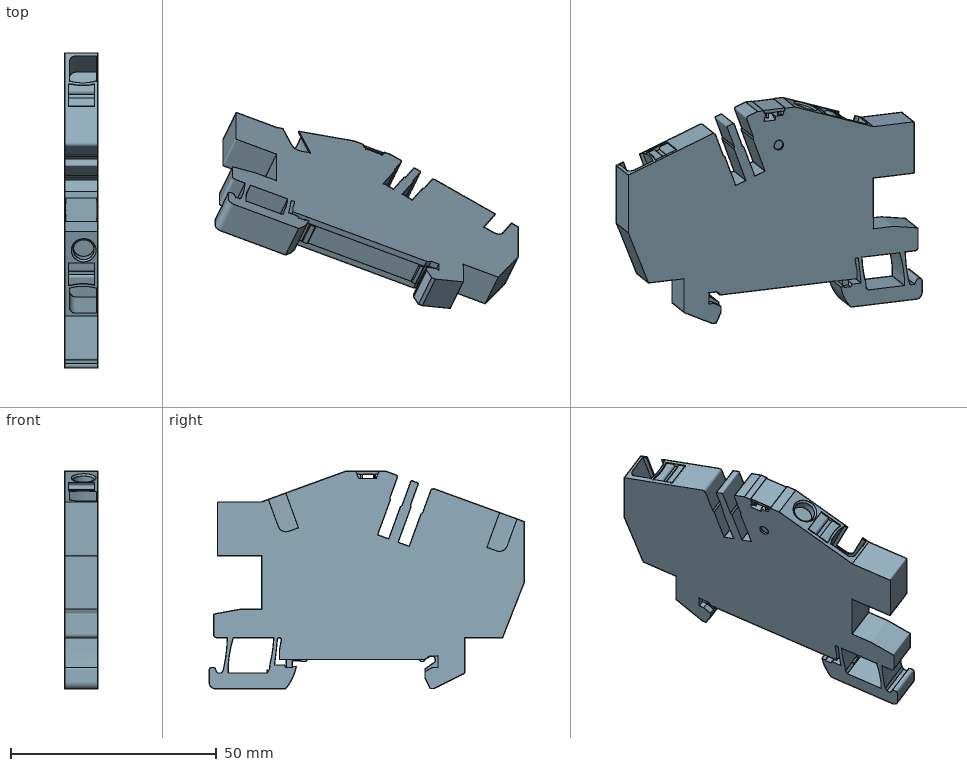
import cadquery as cq
import math


width = 8.1
length = 76.57
rear_y = length / 2
front_y = -rear_y

top_z = 45.75
foot_base_z = -7.13
shoulder_z = 5.28
rear_low_z = 18.75
rear_high_z = 33.5
block_top_z = 38.3
block_bottom_z = 25.15
ledge_z = 12.22
ledge_tip_z = 11.05

tilt = 20
sin_tilt = math.sin(math.radians(tilt))
cos_tilt = math.cos(math.radians(tilt))
rear_roof_y = rear_y - (top_z - rear_high_z) * cos_tilt / sin_tilt
front_roof_y = -5.1
block_root_y = front_roof_y - (top_z - block_top_z) * cos_tilt / sin_tilt
block_y = -36.25
mouth_y = -25.55
ledge_bend_y = -30.8
ledge_y = -37.2
rear_shoulder_y = 33.0
hook_back_y = 23.8
hook_front_y = 14.1
hook_back_z = -3.35
hook_tip_z = -4.4
hook_base_z = -7.05
hook_tip_front_y = 15.4
hook_tip_back_y = 16.4
tip_fillet = 0.3
ledge_fillet = 0.8

spring_gap_y = -21.22
spring_gap_radius = 0.46
spring_gap_taper_z = 2.35
foot_top_z = -1.27
foot_floor_z = -3.25
foot_tip_y = -17.05
foot_tip_z = -1.64
foot_lip_z = -1.91
foot_corner_radius = 1.6
foot_base_y = -19.72
lip_y = -36.9
lip_foot_y = -36.3
lip_fillet = 0.65
spring_front_y = -33.88
spring_bend_y = -34.85
spring_bend_z = -2.5
spring_foot_y = -35.3
spring_base_y = -22.37
window_rear_y = -22.6
window_bend_y = -23.5
window_bend_z = -1.0
window_front_y = -33.6
window_front_z = -1.1
window_top_y = -32.4
tab_ramp_y = -20.06
spring_root_z = shoulder_z + 0.7
latch_y = -23.68
latch_size = 0.54
latch_z = -2.5
latch_x = 3.3
latch_width = 2.0

clamp_x = 1.5
clamp_width = width - 2 * clamp_x
clamp_top_z = 1.9
clamp_back_y = 17.3
bump_drop = 0.48
tab_front_y = -19.6
tab_back_y = -18.04
tab_z = -1.89
strip_drop = 0.3
recess_top_z = 0.9
recess_mouth_y = 15.3
recess_floor_z = -1.92
recess_bend_y = 16.0
recess_lip_z = -2.95
throat_y = 16.3
throat_top_z = 0.7
throat_floor_z = -0.6
clamp_lip_z = -2.3
bump_slope = 0.25
front_bump_front_y = -15.9
front_bump_back_y = -14.7
rear_bump_front_y = 13.05
rear_bump_back_y = 13.9

slot_foot_y = 8.98
slot_foot_z = 28.0
slot_pitch = 5.3
slot_width = 2.82
slot_mouth_width = 3.35
slot_rear_step = 8.2
slot_front_step = 9.0
slot_step_length = 0.5
slot_height = 20
mouth_fillets = [(0.75, 0.3), (0.3, 0.6)]

marker_x = 0.25
marker_width = width - 2 * marker_x
marker_back_y = 3.0
marker_front_y = -2.65
marker_thickness = 0.8
seat_depth = 1.75
seat_taper = 0.42
leg_x = 0.4
leg_width = 0.5
leg_size = 0.46
rear_leg_y = 1.89
rear_leg_depth = 2.1
front_leg_y = -1.3
front_leg_size = 0.62
seat_notch_back_y = 2.85
seat_notch_front_y = -0.05
seat_notch_depth = 0.97
seat_notch_run = 2.5

rear_entry = 28.05
front_entry = 14.15
entry_left_x = 1.17
entry_right_x = 7.74
entry_length = 6.95
entry_bow = 0.5
entry_depth = 11.5
entry_corner = 1.6
side_notch_start = 1.35
side_notch_width = 4.5
side_notch_depth = 9.0
side_notch_radius = 2.0
notch_x = entry_right_x - 0.1
button_left_x = 0.94
button_right_x = 7.28
button_length = 5.75
button_gap = 0.75
button_wall = 0.6
button_depth = 6.0
button_recess = 0.3
groove_recess = 0.9
ridge_length = 1.85
ridge_round = 0.6
groove_end = 3.35
ramp_end = 4.25
ramp_bulge = 0.15
test_hole_x = 4.63
test_hole_distance = 4.85
test_hole_radius = 2.55
test_hole_chamfer = 0.45
test_hole_depth = 2.7
side_hole_y = -0.92
side_hole_z = 36.5
side_hole_radius = 1.2
side_hole_depth = 0.5


def prism(points, x_start=0.0, x_length=width):
    """Straight-sided (Y, Z) outline extruded along X."""
    return cq.Workplane("YZ", origin=(x_start, 0, 0)).polyline(points).close().extrude(x_length)


def edges_at(y, z, reach=0.2):
    """Selector for edges whose middle lies near (y, z)."""
    return cq.selectors.BoxSelector((-1, y - reach, z - reach), (width + 1, y + reach, z + reach))


class Roof:
    """A sloping roof face. Positions are X and distance down the slope from its ridge."""

    def __init__(self, ridge_y, side):
        self.side = side
        self.origin = (0, ridge_y, top_z)
        self.normal = (0, side * sin_tilt, cos_tilt)

    def face(self):
        return cq.Workplane(cq.Plane(self.origin, (1, 0, 0), self.normal))

    def section(self, x):
        """Lengthwise plane at x: local x runs down the slope, local y out of the roof."""
        down = (0, self.side * cos_tilt, -sin_tilt)
        origin = (x, self.origin[1], self.origin[2])
        return cq.Workplane(cq.Plane(origin, down, (self.side, 0, 0)))

    def along_x(self, amount):
        """Extrusion length in section() that moves `amount` toward +X."""
        return self.side * amount


rear_roof = Roof(rear_roof_y, 1)
front_roof = Roof(front_roof_y, -1)
terminals = [(rear_roof, rear_entry), (front_roof, front_entry)]


def body():
    """Main outline with the rear rail hook."""
    gap_top = shoulder_z - spring_gap_radius
    return (
        cq.Workplane("YZ")
        .moveTo(rear_y, rear_low_z)
        .lineTo(rear_y, rear_high_z)
        .lineTo(rear_roof_y, top_z)
        .lineTo(front_roof_y, top_z)
        .lineTo(block_root_y, block_top_z)
        .lineTo(block_y, block_top_z)
        .lineTo(block_y, block_bottom_z)
        .lineTo(mouth_y, block_bottom_z)
        .lineTo(mouth_y, ledge_z)
        .lineTo(ledge_bend_y, ledge_z)
        .lineTo(ledge_y, ledge_tip_z)
        .lineTo(ledge_y, shoulder_z)
        .lineTo(spring_gap_y - spring_gap_radius, shoulder_z)
        .lineTo(spring_gap_y - spring_gap_radius, gap_top)
        .threePointArc((spring_gap_y, shoulder_z), (spring_gap_y + spring_gap_radius, gap_top))
        .lineTo(spring_gap_y, spring_gap_taper_z)
        .lineTo(spring_gap_y, 0)
        .lineTo(hook_front_y, 0)
        .lineTo(hook_front_y, hook_tip_z)
        .lineTo(hook_tip_front_y, hook_base_z)
        .lineTo(hook_tip_back_y, hook_base_z)
        .lineTo(hook_back_y, hook_back_z)
        .lineTo(hook_back_y, shoulder_z)
        .lineTo(rear_shoulder_y, shoulder_z)
        .close()
        .extrude(width)
        .edges(edges_at(block_y, block_top_z))
        .fillet(tip_fillet)
        .edges(edges_at(block_y, block_bottom_z))
        .fillet(tip_fillet)
        .edges(edges_at(ledge_y, ledge_tip_z))
        .fillet(tip_fillet)
        .edges(edges_at(ledge_y, shoulder_z))
        .fillet(ledge_fillet)
        .edges(edges_at(hook_back_y, hook_back_z))
        .fillet(tip_fillet)
    )


def front_foot():
    """Sliding foot with its pull lip, spring window and small latch block."""
    outer = (
        cq.Workplane("YZ")
        .moveTo(foot_tip_y, foot_tip_z)
        .threePointArc((-18.0, -4.5), (foot_base_y, foot_base_z))
        .lineTo(front_y, foot_base_z)
        .lineTo(front_y, foot_lip_z)
        .lineTo(lip_y, foot_lip_z)
        .lineTo(lip_foot_y, foot_floor_z)
        .lineTo(spring_foot_y, foot_floor_z)
        .lineTo(spring_bend_y, spring_bend_z)
        .threePointArc((-34.15, 1.5), (spring_front_y, shoulder_z))
        .lineTo(spring_front_y, spring_root_z)
        .lineTo(spring_gap_y - spring_gap_radius, spring_root_z)
        .lineTo(spring_gap_y - spring_gap_radius, shoulder_z - spring_gap_radius)
        .threePointArc((-21.93, 2.35), (spring_base_y, foot_top_z))
        .lineTo(tab_ramp_y, foot_top_z)
        .lineTo(tab_front_y, tab_z)
        .lineTo(tab_back_y, tab_z)
        .lineTo(tab_back_y, foot_tip_z)
        .close()
        .extrude(width)
        .edges(edges_at(front_y, foot_base_z))
        .fillet(foot_corner_radius)
        .edges(edges_at(front_y, foot_lip_z))
        .fillet(lip_fillet)
        .edges(edges_at(lip_y, foot_lip_z))
        .fillet(lip_fillet)
    )
    window = (
        cq.Workplane("YZ")
        .moveTo(window_rear_y, shoulder_z)
        .threePointArc((-22.9, 2.1), (window_bend_y, window_bend_z))
        .lineTo(latch_y, latch_z)
        .lineTo(latch_y - latch_size, foot_floor_z)
        .lineTo(window_front_y, foot_floor_z)
        .lineTo(window_front_y, window_front_z)
        .threePointArc((-33.2, 1.9), (window_top_y, shoulder_z))
        .close()
        .extrude(width)
    )
    latch = prism(
        [
            (latch_y + latch_size, latch_z),
            (latch_y - latch_size, latch_z),
            (latch_y - latch_size, foot_floor_z),
            (latch_y + latch_size, foot_floor_z),
        ],
        latch_x,
        latch_width,
    )
    return outer.cut(window).union(latch)


def rail_recess():
    """Hollow in the rear hook that catches the rail edge."""
    return prism(
        [
            (recess_mouth_y, recess_top_z),
            (clamp_back_y, recess_top_z),
            (clamp_back_y, recess_floor_z),
            (recess_bend_y, recess_floor_z),
            (hook_front_y, recess_lip_z),
            (hook_front_y, 0),
        ]
    )


def partition_slots():
    """Leaning slots, each widened above a small step."""
    lower = slot_width / 2
    upper = slot_mouth_width / 2
    outline = [
        (lower, 0),
        (lower, slot_rear_step),
        (upper, slot_rear_step + slot_step_length),
        (upper, slot_height),
        (-upper, slot_height),
        (-upper, slot_front_step + slot_step_length),
        (-lower, slot_front_step),
        (-lower, 0),
    ]
    slots = cq.Workplane("YZ")
    for number in range(len(mouth_fillets)):
        shift = number * slot_pitch
        slots = slots.union(
            prism(outline)
            .rotate((0, 0, 0), (1, 0, 0), -tilt)
            .translate((0, slot_foot_y - shift * cos_tilt, slot_foot_z + shift * sin_tilt))
        )
    return slots


def round_slot_mouths(part):
    """Round the roof edges on both sides of each slot, from the rear forward."""
    rise = (top_z - slot_foot_z) * cos_tilt + (rear_roof_y - slot_foot_y) * sin_tilt
    for number, radii in enumerate(mouth_fillets):
        for side, radius in zip((1, -1), radii):
            across = side * slot_mouth_width / 2 - number * slot_pitch
            y = slot_foot_y + across * cos_tilt + rise * sin_tilt
            z = slot_foot_z - across * sin_tilt + rise * cos_tilt
            part = part.edges(edges_at(y, z)).fillet(radius)
    return part


def entry_outline(roof, start, margin=0.0):
    """Wire-entry outline on the roof, its upper end bowed; margin raises that end."""
    upper = roof.side * (start + entry_bow - margin)
    bow = roof.side * (start - margin)
    lower = roof.side * (start + entry_length)
    return (
        roof.face()
        .moveTo(entry_left_x, upper)
        .lineTo(entry_left_x, lower)
        .lineTo(entry_right_x, lower)
        .lineTo(entry_right_x, upper)
        .threePointArc(((entry_left_x + entry_right_x) / 2, bow), (entry_left_x, upper))
        .close()
    )


def wire_entry(roof, start):
    """Deep entry pocket, rounded on the closed side and notched through the +X wall."""
    along_normal = cq.selectors.ParallelDirSelector(cq.Vector(*roof.normal))
    lower_end = ">Y" if roof.side > 0 else "<Y"
    pocket = entry_outline(roof, start).extrude(-entry_depth)
    pocket = pocket.edges(along_normal).edges("<X").edges(lower_end).fillet(entry_corner)
    notch_middle = start + side_notch_start + side_notch_width / 2
    notch = (
        roof.section(notch_x)
        .center(notch_middle, 0)
        .rect(side_notch_width, 2 * side_notch_depth)
        .extrude(roof.along_x(width - notch_x))
        .edges("|X and <Z")
        .fillet(side_notch_radius)
    )
    return pocket.union(notch)


def button_space(roof, start):
    """Pocket for a button just above its wire entry, hollowed to follow the entry's bow."""
    end = start + entry_bow - button_gap
    block = (
        roof.section(button_left_x)
        .moveTo(end - button_length, 0)
        .lineTo(end, 0)
        .lineTo(end, -button_depth)
        .lineTo(end - button_length, -button_depth)
        .close()
        .extrude(roof.along_x(button_right_x - button_left_x))
    )
    return block.cut(entry_outline(roof, start, button_wall).extrude(-entry_depth))


def test_hole():
    """Blind round hole with a chamfered mouth in the front roof."""
    mouth = front_roof.face().center(test_hole_x, front_roof.side * test_hole_distance)
    hole = mouth.circle(test_hole_radius).extrude(-test_hole_depth)
    rim = mouth.circle(test_hole_radius + test_hole_chamfer)
    return hole.union(rim.extrude(-test_hole_chamfer, taper=45))


def side_hole():
    """Shallow round recess in the closed side face."""
    middle = cq.Workplane("YZ").center(side_hole_y, side_hole_z)
    return middle.circle(side_hole_radius).extrude(side_hole_depth)


def seat_section(depth, x_start, x_length):
    """Tapered (Y, Z) slice of the marker seat, down to the given depth."""
    inset = depth * seat_taper
    return prism(
        [
            (marker_back_y, top_z),
            (marker_front_y, top_z),
            (marker_front_y + inset, top_z - depth),
            (marker_back_y - inset, top_z - depth),
        ],
        x_start,
        x_length,
    )


def seat_notch():
    """Wedge under the seat that lets the rear leg snap in from the closed side."""
    floor_z = top_z - seat_depth
    return (
        cq.Workplane("XZ", origin=(0, seat_notch_back_y, 0))
        .polyline([(0, floor_z), (seat_notch_run, floor_z), (0, floor_z - seat_notch_depth)])
        .close()
        .extrude(seat_notch_back_y - seat_notch_front_y)
    )


def marker_tag():
    """Tapered tag flush with the roof, on two short legs."""
    def leg(y, size, depth):
        return cq.Workplane("XY", origin=(leg_x, y, top_z - depth)).box(
            leg_width, size, depth - marker_thickness / 2, centered=(False, True, False)
        )

    tag = seat_section(marker_thickness, marker_x, marker_width)
    tag = tag.union(leg(rear_leg_y, leg_size, rear_leg_depth))
    return tag.union(leg(front_leg_y, front_leg_size, seat_depth))


def button(roof, start):
    """Release button with a rounded crosswise groove for a screwdriver."""
    top = start + entry_bow - button_gap - button_length
    cover = (
        roof.section(0)
        .moveTo(top - 1, 1)
        .lineTo(top - 1, -button_recess)
        .lineTo(top + ridge_length, -button_recess)
        .threePointArc(
            (top + ridge_length + 0.7 * ridge_round, -button_recess - 0.3 * ridge_round),
            (top + ridge_length + ridge_round, -groove_recess),
        )
        .lineTo(top + groove_end, -groove_recess)
        .threePointArc(
            (
                top + (groove_end + ramp_end) / 2 - ramp_bulge,
                ramp_bulge - (button_recess + groove_recess) / 2,
            ),
            (top + ramp_end, -button_recess),
        )
        .lineTo(top + button_length + 1, -button_recess)
        .lineTo(top + button_length + 1, 1)
        .close()
        .extrude(roof.along_x(width))
    )
    return button_space(roof, start).cut(cover)


def rail_clamp():
    """Bent metal strip: rail hook, two contact bumps under the body and an end tab."""
    return (
        cq.Workplane("YZ", origin=(clamp_x, 0, 0))
        .moveTo(clamp_back_y, clamp_top_z)
        .lineTo(tab_front_y, clamp_top_z)
        .lineTo(tab_front_y, tab_z)
        .lineTo(tab_back_y, tab_z)
        .lineTo(tab_back_y, -strip_drop)
        .lineTo(front_bump_front_y - bump_slope, -strip_drop)
        .lineTo(front_bump_front_y, -bump_drop)
        .lineTo(front_bump_back_y, -bump_drop)
        .lineTo(front_bump_back_y + bump_slope, 0)
        .lineTo(rear_bump_front_y - bump_slope, 0)
        .lineTo(rear_bump_front_y, -bump_drop)
        .lineTo(rear_bump_back_y, -bump_drop)
        .lineTo(rear_bump_back_y + bump_slope, 0)
        .lineTo(recess_mouth_y, throat_top_z)
        .lineTo(throat_y, throat_top_z)
        .threePointArc((throat_y + 0.3, 0.1), (throat_y + 0.2, throat_floor_z))
        .lineTo(hook_front_y, clamp_lip_z)
        .lineTo(hook_front_y, recess_lip_z)
        .lineTo(recess_bend_y, recess_floor_z)
        .lineTo(clamp_back_y, recess_floor_z)
        .close()
        .extrude(clamp_width)
    )


clamp = rail_clamp()
marker = marker_tag()
buttons = [button(roof, start) for roof, start in terminals]

housing = round_slot_mouths(body().cut(partition_slots()))
housing = housing.union(front_foot()).cut(rail_recess())
housing = housing.cut(seat_section(seat_depth, 0, width)).cut(seat_notch())
for roof, start in terminals:
    housing = housing.cut(wire_entry(roof, start)).cut(button_space(roof, start))
housing = housing.cut(test_hole()).cut(side_hole()).cut(clamp)

result = cq.Compound.makeCompound(
    [housing.val(), marker.val(), clamp.val(), *[part.val() for part in buttons]]
)